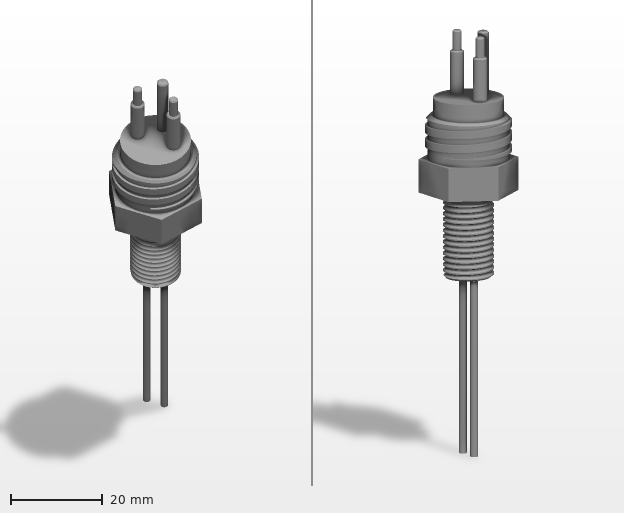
import cadquery as cq
import math

TOTAL_LENGTH = 94.5
HEX_HEIGHT = 7.5
COLLAR_HEIGHT = 9.7
BOSS_HEIGHT = 4.0
PIN_LENGTH = 14.3
NECK_LENGTH = 2.0
STEM_THREAD_LENGTH = 17.1

COLLAR_TOP = HEX_HEIGHT + COLLAR_HEIGHT
BOSS_TOP = COLLAR_TOP + BOSS_HEIGHT
STEM_BOTTOM = -(NECK_LENGTH + STEM_THREAD_LENGTH)
WIRE_LENGTH = TOTAL_LENGTH - BOSS_TOP - PIN_LENGTH + STEM_BOTTOM

HEX_ACROSS_FLATS = 19.0
HEX_ACROSS_CORNERS = HEX_ACROSS_FLATS / math.cos(math.pi / 6)
BOSS_DIAMETER = 15.5

COLLAR_ROOT_DIAMETER = 17.9
COLLAR_CREST_DIAMETER = HEX_ACROSS_FLATS
COLLAR_ENVELOPE_DIAMETER = 19.5
COLLAR_TOP_DIAMETER = 16.8
COLLAR_CHAMFER = (COLLAR_ENVELOPE_DIAMETER - COLLAR_TOP_DIAMETER) / 2
COLLAR_RELIEF = 1.7
COLLAR_PITCH = 3.1
COLLAR_TURNS = 3.5
COLLAR_THREAD_BOTTOM = HEX_HEIGHT - 0.85
COLLAR_THREAD_START = 90
COLLAR_RIDGE_WIDTH = 1.7

STEM_ROOT_DIAMETER = 9.5
STEM_CREST_DIAMETER = 11.15
STEM_ENVELOPE_DIAMETER = 11.3
STEM_TURNS = 13.5
STEM_PITCH = STEM_THREAD_LENGTH / STEM_TURNS
STEM_RIDGE_ROOT_WIDTH = 1.1
STEM_RIDGE_CREST_WIDTH = 0.3
STEM_END_CHAMFER = 0.6

SIDE_PIN_DIAMETER = 3.0
SIDE_PIN_TIP_DIAMETER = 2.0
SIDE_PIN_TIP_LENGTH = 4.5
SIDE_PIN_X = 4.25
REAR_PIN_DIAMETER = 2.5
REAR_PIN_Y = 4.0
PIN_CHAMFER = 0.3
WIRE_DIAMETER = 1.7
WIRE_X = 2.1

THREAD_OVERLAP = 0.1


def cylinder(diameter, bottom, height, x=0, y=0):
    """Upright cylinder whose bottom face is centred on (x, y, bottom)."""
    return cq.Workplane("XY", origin=(x, y, bottom)).circle(diameter / 2).extrude(height)


def thread_ridge(root_diameter, crest_diameter, root_width, crest_width, pitch, turns, bottom):
    """Right-hand helical ridge whose middle starts on the +X side at height bottom."""
    sunk = root_diameter / 2 - THREAD_OVERLAP
    crest = crest_diameter / 2
    path = cq.Wire.makeHelix(pitch, pitch * turns, sunk)
    ridge = (
        cq.Workplane("XZ")
        .moveTo(sunk, -root_width / 2)
        .lineTo(crest, -crest_width / 2)
        .lineTo(crest, crest_width / 2)
        .lineTo(sunk, root_width / 2)
        .close()
        .sweep(cq.Workplane(path), isFrenet=True)
    )
    return ridge.translate((0, 0, bottom))


def threaded_collar():
    thread_length = COLLAR_HEIGHT - COLLAR_RELIEF
    relief_top = HEX_HEIGHT + COLLAR_RELIEF
    ridge = thread_ridge(
        COLLAR_ROOT_DIAMETER, COLLAR_CREST_DIAMETER,
        COLLAR_RIDGE_WIDTH, COLLAR_RIDGE_WIDTH,
        COLLAR_PITCH, COLLAR_TURNS, COLLAR_THREAD_BOTTOM,
    )
    ridge = ridge.rotate((0, 0, 0), (0, 0, 1), COLLAR_THREAD_START)
    core = cylinder(COLLAR_ROOT_DIAMETER, HEX_HEIGHT, COLLAR_HEIGHT + BOSS_HEIGHT)
    envelope = cylinder(COLLAR_ENVELOPE_DIAMETER, relief_top, thread_length)
    envelope = envelope.faces(">Z").chamfer(COLLAR_CHAMFER)
    relief = cylinder(COLLAR_ROOT_DIAMETER, HEX_HEIGHT, COLLAR_RELIEF)
    return core.union(ridge).intersect(envelope).union(relief)


def threaded_stem():
    ridge = thread_ridge(
        STEM_ROOT_DIAMETER, STEM_CREST_DIAMETER,
        STEM_RIDGE_ROOT_WIDTH, STEM_RIDGE_CREST_WIDTH,
        STEM_PITCH, STEM_TURNS + 1, STEM_BOTTOM - STEM_PITCH / 2,
    )
    core = cylinder(STEM_ROOT_DIAMETER, STEM_BOTTOM - STEM_PITCH, STEM_THREAD_LENGTH + 2 * STEM_PITCH)
    envelope = cylinder(STEM_ENVELOPE_DIAMETER, STEM_BOTTOM, STEM_THREAD_LENGTH)
    envelope = envelope.edges().chamfer(STEM_END_CHAMFER)
    neck = cylinder(STEM_ROOT_DIAMETER, -NECK_LENGTH, NECK_LENGTH)
    return core.union(ridge).intersect(envelope).union(neck)


def side_pin(x):
    shank_length = PIN_LENGTH - SIDE_PIN_TIP_LENGTH
    shank = cylinder(SIDE_PIN_DIAMETER, BOSS_TOP, shank_length, x)
    tip = cylinder(SIDE_PIN_TIP_DIAMETER, BOSS_TOP + shank_length, SIDE_PIN_TIP_LENGTH, x)
    return shank.faces(">Z").chamfer(PIN_CHAMFER).union(tip.faces(">Z").chamfer(PIN_CHAMFER))


def rear_pin():
    pin = cylinder(REAR_PIN_DIAMETER, BOSS_TOP, PIN_LENGTH, y=REAR_PIN_Y)
    return pin.faces(">Z").chamfer(PIN_CHAMFER)


hexagon = cq.Workplane("XY").polygon(6, HEX_ACROSS_CORNERS).extrude(HEX_HEIGHT)
boss = cylinder(BOSS_DIAMETER, COLLAR_TOP, BOSS_HEIGHT)

result = hexagon.union(threaded_collar()).union(threaded_stem()).union(boss).union(rear_pin())
for side in (-1, 1):
    wire = cylinder(WIRE_DIAMETER, STEM_BOTTOM - WIRE_LENGTH, WIRE_LENGTH, side * WIRE_X)
    result = result.union(side_pin(side * SIDE_PIN_X)).union(wire)